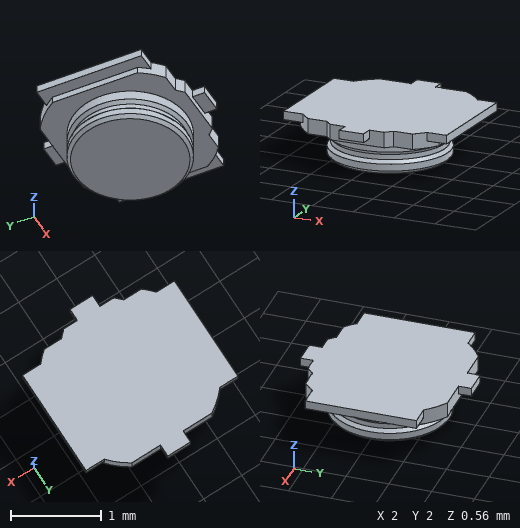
import cadquery as cq
import math

outer_size = 2.0
total_height = 0.56
outer_radius = outer_size / 2

plate_thickness = 0.18
flat_distance = 0.85
front_flat_distance = 0.77
nose_base_half_width = 0.41
nose_tip_half_width = 0.33

tab_thickness = 0.1
side_tab_width = 1.3
end_tab_width = 0.3

base_radius = 0.7
neck_radius = 0.66
bevel_height = 0.04
lower_rim_top = 0.12
neck_bottom = 0.16
neck_top = 0.22
upper_rim_bottom = 0.26

plate_bottom = total_height - plate_thickness
tab_bottom = total_height - tab_thickness


def chord_half_length(distance):
    """Half length of the outer circle's chord at a distance from its centre."""
    return math.sqrt(outer_radius**2 - distance**2)


def make_plate():
    """Disc with flats on all sides and a tapered nose at the front."""
    flat_half = chord_half_length(flat_distance)
    front_half = chord_half_length(front_flat_distance)
    diagonal = outer_radius / math.sqrt(2)
    return (
        cq.Workplane("XY", origin=(0, 0, plate_bottom))
        .moveTo(-flat_half, flat_distance)
        .lineTo(flat_half, flat_distance)
        .threePointArc((diagonal, diagonal), (flat_distance, flat_half))
        .lineTo(flat_distance, -flat_half)
        .threePointArc((diagonal, -diagonal), (front_half, -front_flat_distance))
        .lineTo(nose_base_half_width, -front_flat_distance)
        .lineTo(nose_tip_half_width, -flat_distance)
        .lineTo(-nose_tip_half_width, -flat_distance)
        .lineTo(-nose_base_half_width, -front_flat_distance)
        .lineTo(-front_half, -front_flat_distance)
        .threePointArc((-diagonal, -diagonal), (-flat_distance, -flat_half))
        .lineTo(-flat_distance, flat_half)
        .threePointArc((-diagonal, diagonal), (-flat_half, flat_distance))
        .close()
        .extrude(plate_thickness)
    )


def make_tab_bar(length_x, length_y):
    """Bar across the plate whose two ends form a pair of opposite tabs."""
    return (
        cq.Workplane("XY", origin=(0, 0, tab_bottom))
        .rect(length_x, length_y)
        .extrude(tab_thickness)
    )


def make_base():
    """Round base with a bevelled bottom edge and a groove with sloped walls."""
    profile = [
        (0, 0),
        (base_radius - bevel_height, 0),
        (base_radius, bevel_height),
        (base_radius, lower_rim_top),
        (neck_radius, neck_bottom),
        (neck_radius, neck_top),
        (base_radius, upper_rim_bottom),
        (base_radius, plate_bottom),
        (0, plate_bottom),
    ]
    return cq.Workplane("XZ").polyline(profile).close().revolve(360, (0, 0), (0, 1))


result = (
    make_plate()
    .union(make_tab_bar(outer_size, side_tab_width))
    .union(make_tab_bar(end_tab_width, outer_size))
    .union(make_base())
)